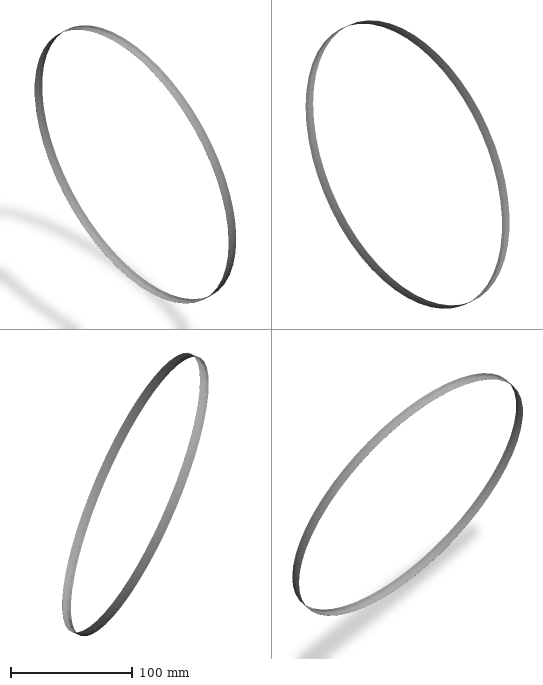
import cadquery as cq

outer_diameter = 249.85
wall_thickness = 0.25
band_width = 8.0

inner_diameter = outer_diameter - 2 * wall_thickness


def make_band():
    """Thin-walled ring centred on the origin."""
    return (
        cq.Workplane("XZ", origin=(0, band_width / 2, 0))
        .circle(outer_diameter / 2)
        .circle(inner_diameter / 2)
        .extrude(band_width)
    )


result = make_band()